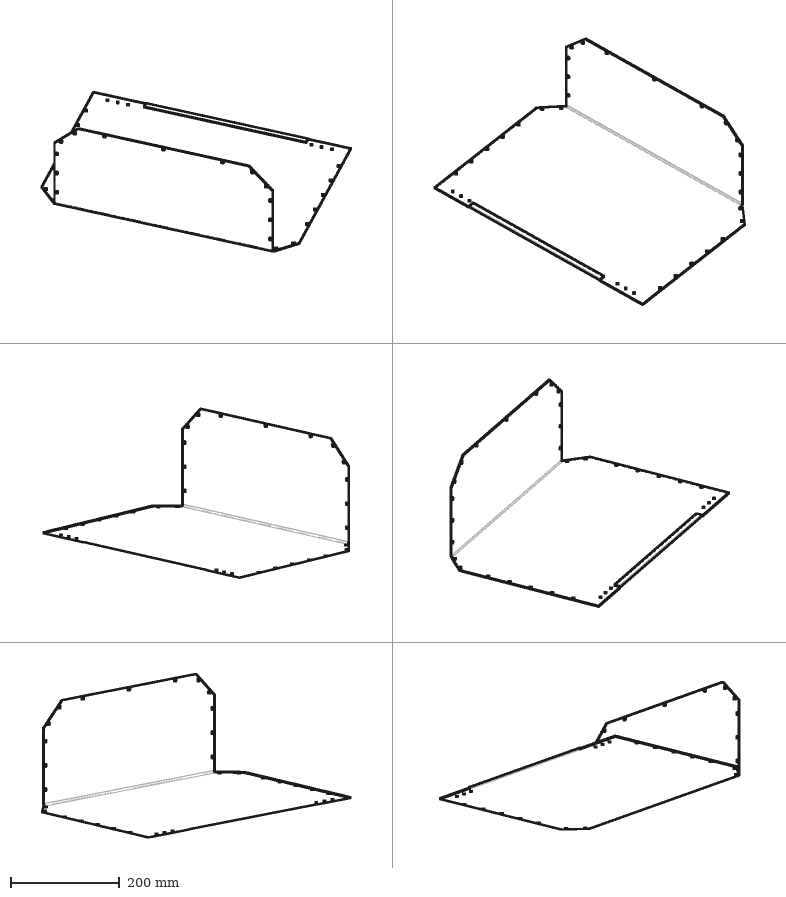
import cadquery as cq
import math

length = 501.0
depth = 331.0
height = 192.5
thickness = 2.0
bend_radius = 4.0

wall_width = 424.5
wall_chamfer = 46.0
plate_chamfer = 39.5
plate_chamfer_run = (length - wall_width) / 2

hem_width = 315.5
hem_depth = 12.0
hem_offset = 10.0

hole_diameter = 5.0
plate_edge_inset = 4.0
wall_edge_inset = 4.0
plate_side_first = 55.0
plate_side_pitch = 44.5
plate_side_count = 5
wall_side_first = 30.0
wall_side_pitch = 45.5
wall_side_count = 3
wall_top_pitch = 115.0
plate_corner_spread = 25.0
wall_corner_spread = 27.0

small_diameter = 3.5
small_rear_inset = 13.5
small_first = 178.5
small_pitch = 20.0
small_count = 3


def block(width, y_size, z_size):
    """Box centred on X = 0 that starts at Y = 0 and Z = 0."""
    return cq.Workplane("XY").box(width, y_size, z_size, centered=(True, False, False))


def bent_sheet():
    """Plate and wall as one L-shaped profile, trimmed to both flat outlines."""
    profile = (
        cq.Workplane("YZ")
        .moveTo(depth, 0)
        .lineTo(bend_radius, 0)
        .radiusArc((0, bend_radius), bend_radius)
        .lineTo(0, height)
        .lineTo(thickness, height)
        .lineTo(thickness, bend_radius)
        .radiusArc((bend_radius, thickness), -(bend_radius - thickness))
        .lineTo(depth, thickness)
        .close()
        .extrude(length / 2, both=True)
    )
    bend_strip = block(wall_width, bend_radius, height)
    plan = (
        block(length, depth, height)
        .edges("|Z and <Y")
        .chamfer(plate_chamfer)
        .union(bend_strip)
    )
    wall_outline = (
        block(wall_width, depth, height)
        .edges("|Y and >Z")
        .chamfer(wall_chamfer)
    )
    plate_layer = block(length, depth, thickness)
    return profile.intersect(plan).intersect(wall_outline.union(plate_layer))


def rear_hem():
    """Second sheet layer, joined to the plate by a half-round fold at the rear edge."""
    fold_start = depth - thickness
    return (
        cq.Workplane("YZ")
        .moveTo(fold_start, 0)
        .threePointArc((depth, thickness), (fold_start, 2 * thickness))
        .lineTo(depth - hem_depth, 2 * thickness)
        .lineTo(depth - hem_depth, 0)
        .close()
        .extrude(hem_width / 2, both=True)
        .translate((hem_offset, 0, 0))
    )


def fold_clearance():
    """Square rear edge of the plate that the rounded fold replaces."""
    return (
        block(hem_width, thickness, thickness)
        .translate((hem_offset, depth - thickness, 0))
    )


def mirrored(points):
    """The points together with their images across the centre plane X = 0."""
    return points + [(-x, v) for x, v in points]


def chamfer_holes(start, toward_tip, run, spread, inset):
    """Two hole centres parallel to a 45 degree chamfer on the +X side.

    The chamfer begins at start on the side edge and moves in by run along X.
    toward_tip is +1 or -1: the direction it takes along the other axis.
    """
    inward = run / 2 + inset / math.sqrt(2)
    along = run / 2 - inset / math.sqrt(2)
    return [
        (start[0] - inward - shift, start[1] + toward_tip * (along + shift))
        for shift in (-spread / 2, spread / 2)
    ]


def plate_holes(points, diameter):
    """Vertical cutters through the plate."""
    return cq.Workplane("XY").pushPoints(points).circle(diameter / 2).extrude(thickness)


def wall_holes(points, diameter):
    """Cutters through the wall; the workplane normal points to -Y."""
    return cq.Workplane("XZ").pushPoints(points).circle(diameter / 2).extrude(-thickness)


plate_edge_points = [
    (length / 2 - plate_edge_inset, depth - plate_side_first - i * plate_side_pitch)
    for i in range(plate_side_count)
]
plate_edge_points += chamfer_holes(
    (length / 2, plate_chamfer), -1, plate_chamfer_run, plate_corner_spread, plate_edge_inset
)

small_points = [
    (small_first + i * small_pitch, depth - small_rear_inset) for i in range(small_count)
]

wall_edge_points = [
    (wall_width / 2 - wall_edge_inset, wall_side_first + i * wall_side_pitch)
    for i in range(wall_side_count)
]
wall_edge_points += chamfer_holes(
    (wall_width / 2, height - wall_chamfer), 1, wall_chamfer, wall_corner_spread, wall_edge_inset
)
wall_top_row = height - wall_edge_inset
wall_edge_points.append((wall_top_pitch, wall_top_row))
wall_top_center = (0, wall_top_row)

result = (
    bent_sheet()
    .cut(fold_clearance())
    .union(rear_hem())
    .cut(plate_holes(mirrored(plate_edge_points), hole_diameter))
    .cut(plate_holes(mirrored(small_points), small_diameter))
    .cut(wall_holes(mirrored(wall_edge_points) + [wall_top_center], hole_diameter))
)